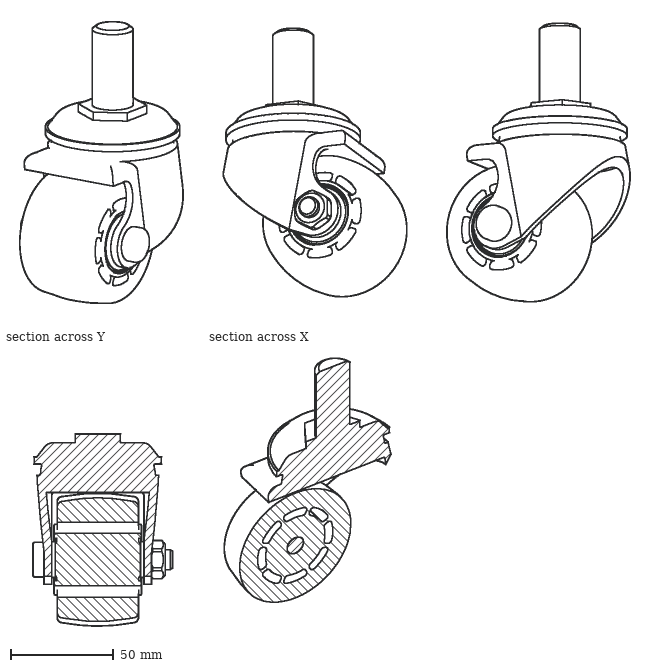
import cadquery as cq
import math


WHEEL_R = 32.5
TREAD_EDGE_R = 31.0
TREAD_HALF_W = 17.4
WHEEL_HALF_W = 20.0
SHOULDER_R = 28.0
HUB_RING_R = 17.4
HUB_RING_HALF_W = 21.5
HUB_RING_ROUND = 1.0
BEARING_SEAT_R = 15.5
BEARING_R = 14.7
BEARING_FACE_R = 14.0
BEARING_CHAMFER = BEARING_R - BEARING_FACE_R
BEARING_HALF_W = 20.9
SLOT_COUNT = 8
SLOT_OUTER_R = 21.7
SPOKE_W = 2.5
SLOT_CORNER_R = 1.6

AXLE_Y = -22.0
AXLE_Z = WHEEL_R
AXLE_R = 5.0
AXLE_TIP_X = -36.6
AXLE_TIP_CHAMFER = 0.8
AXLE_TIP_CHAMFER_L = 1.2
SPACER_R = 8.8
HEAD_R = 8.6
HEAD_H = 5.4
HEAD_ROUND = 1.1
NUT_ACROSS_FLATS = 17.0
NUT_CORNER_R = 9.4
NUT_CHAMFER = 0.5
NUT_HEX_H = 5.0
NUT_SHOULDER_R = 8.6
NUT_SHOULDER_H = 5.6
NUT_TOP_R = 7.5
NUT_H = 6.7

FORK_TOP_Z = 74.0
CEILING_Z = 65.4
CEILING_ROUND = 1.3
WALL = 3.9
FORK_TILT = 11.0
SHELL_R = 31.6
ARM_OUTER_X = 26.4
ARM_INNER_X = ARM_OUTER_X - WALL
CROWN_FRONT = 38.3
CROWN_ROUND = 5.2
ARM_END_R = 12.0
THROAT_R = 14.7
THROAT_TOP_R = 5.9
THROAT_BACK_Y = -20.8
BACK_Y = 33.8
BACK_CORNER = (BACK_Y, 65.7)
SKIRT_MID = (14.7, 41.0)
SKIRT_END = (-8.6, 24.9)

TOTAL_H = 134.0
NECK_R = 30.0
NECK_FLARE = 1.0
NECK_TOP_FLARE = 0.7
NECK_TOP_R = 29.5
NECK_TAPER_Z = 76.0
FLANGE_R = 33.0
FLANGE_BOTTOM_Z = 79.3
FLANGE_TOP_Z = 82.8
CONE_BOTTOM_R = 31.8
CONE_TOP = (28.0, 87.9)
CAP_FLAT_R = 24.1
CAP_TOP_Z = 89.9
HEX_ACROSS_FLATS = 29.1
HEX_TOP_Z = 94.1
STEM_R = 10.0
STEM_CHAMFER = 2.0
STEM_CHAMFER_H = 1.6


def turned_on_axle(profile):
    """Revolve a profile drawn as (x, radius) about the wheel axle."""
    turned = profile.close().revolve(360, (0, 0, 0), (1, 0, 0))
    return turned.translate((0, AXLE_Y, AXLE_Z))


def axle_disc(x_start, x_end, radius):
    disc = cq.Workplane("YZ").circle(radius).extrude(x_end - x_start)
    return disc.translate((x_start, AXLE_Y, AXLE_Z))


def tilted(shape):
    """Lean a shape about the centre of the fork's top face."""
    return shape.rotate((0, 0, FORK_TOP_Z), (1, 0, FORK_TOP_Z), FORK_TILT)


def wheel_slots():
    ring = cq.Workplane("YZ").circle(SLOT_OUTER_R).circle(HUB_RING_R).extrude(WHEEL_HALF_W, both=True)
    spoke_angle = 360 / SLOT_COUNT
    for i in range(SLOT_COUNT // 2):
        spoke = cq.Workplane("YZ").rect(2 * WHEEL_R, SPOKE_W).extrude(WHEEL_HALF_W, both=True)
        ring = ring.cut(spoke.rotate((0, 0, 0), (1, 0, 0), (i + 0.5) * spoke_angle))
    return ring.edges("|X").fillet(SLOT_CORNER_R).translate((0, AXLE_Y, AXLE_Z))


def hub_end():
    """Hub ring standing out of the +X side face, with the bearing seated inside it."""
    return turned_on_axle(
        cq.Workplane("XY")
        .moveTo(0, AXLE_R)
        .lineTo(BEARING_HALF_W, AXLE_R)
        .lineTo(BEARING_HALF_W, BEARING_FACE_R)
        .lineTo(BEARING_HALF_W - BEARING_CHAMFER, BEARING_R)
        .lineTo(BEARING_HALF_W - BEARING_CHAMFER, BEARING_SEAT_R)
        .lineTo(HUB_RING_HALF_W, BEARING_SEAT_R)
        .lineTo(HUB_RING_HALF_W, HUB_RING_R - HUB_RING_ROUND)
        .tangentArcPoint((HUB_RING_HALF_W - HUB_RING_ROUND, HUB_RING_R), relative=False)
        .lineTo(0, HUB_RING_R)
    )


def make_wheel():
    bulge = math.sqrt(0.5)
    shoulder_mid = (
        TREAD_HALF_W + (WHEEL_HALF_W - TREAD_HALF_W) * bulge,
        SHOULDER_R + (TREAD_EDGE_R - SHOULDER_R) * bulge,
    )
    rim = turned_on_axle(
        cq.Workplane("XY")
        .moveTo(-WHEEL_HALF_W, HUB_RING_R)
        .lineTo(WHEEL_HALF_W, HUB_RING_R)
        .lineTo(WHEEL_HALF_W, SHOULDER_R)
        .threePointArc(shoulder_mid, (TREAD_HALF_W, TREAD_EDGE_R))
        .threePointArc((0, WHEEL_R), (-TREAD_HALF_W, TREAD_EDGE_R))
        .threePointArc((-shoulder_mid[0], shoulder_mid[1]), (-WHEEL_HALF_W, SHOULDER_R))
    )
    hub = hub_end().union(hub_end().mirror("YZ"))
    return rim.union(hub).cut(wheel_slots())


def make_swivel_head():
    head = (
        cq.Workplane("XZ")
        .moveTo(0, FORK_TOP_Z)
        .lineTo(NECK_R + NECK_FLARE, FORK_TOP_Z)
        .radiusArc((NECK_R, FORK_TOP_Z + NECK_FLARE), NECK_FLARE)
        .lineTo(NECK_R, NECK_TAPER_Z)
        .lineTo(NECK_TOP_R, FLANGE_BOTTOM_Z - NECK_TOP_FLARE)
        .radiusArc((NECK_TOP_R + NECK_TOP_FLARE, FLANGE_BOTTOM_Z), NECK_TOP_FLARE)
        .lineTo(FLANGE_R, FLANGE_BOTTOM_Z)
        .lineTo(FLANGE_R, FLANGE_TOP_Z)
        .lineTo(CONE_BOTTOM_R, FLANGE_TOP_Z)
        .lineTo(*CONE_TOP)
        .tangentArcPoint((CAP_FLAT_R, CAP_TOP_Z), relative=False)
        .lineTo(0, CAP_TOP_Z)
        .close()
        .revolve(360, (0, 0, 0), (0, 1, 0))
    )
    corner_circle = HEX_ACROSS_FLATS / math.cos(math.pi / 6)
    hexagon = (
        cq.Workplane("XY", origin=(0, 0, CAP_TOP_Z))
        .transformed(rotate=(0, 0, 90))
        .polygon(6, corner_circle)
        .extrude(HEX_TOP_Z - CAP_TOP_Z)
    )
    stem = (
        cq.Workplane("XY", origin=(0, 0, HEX_TOP_Z))
        .circle(STEM_R)
        .extrude(TOTAL_H - HEX_TOP_Z)
        .faces(">Z")
        .chamfer(STEM_CHAMFER_H, STEM_CHAMFER)
    )
    return head.union(hexagon).union(stem)


def fork_side_outline():
    """Side outline of the fork in the YZ plane, extruded across its full width."""
    throat_y = THROAT_BACK_Y - THROAT_R
    centre_gap = ARM_END_R + THROAT_R
    throat_z = AXLE_Z + math.sqrt(centre_gap**2 - (throat_y - AXLE_Y) ** 2)
    blend = ARM_END_R / centre_gap
    arm_front = (AXLE_Y + (throat_y - AXLE_Y) * blend, AXLE_Z + (throat_z - AXLE_Z) * blend)

    top_z = CEILING_Z - THROAT_TOP_R
    top_gap = THROAT_R - THROAT_TOP_R
    top_y = throat_y + math.sqrt(top_gap**2 - (top_z - throat_z) ** 2)
    stretch = THROAT_R / top_gap
    throat_top = (throat_y + (top_y - throat_y) * stretch, throat_z + (top_z - throat_z) * stretch)

    run_y = SKIRT_END[0] - AXLE_Y
    run_z = SKIRT_END[1] - AXLE_Z
    angle = math.atan2(run_z, run_y) - math.acos(ARM_END_R / math.hypot(run_y, run_z))
    arm_bottom = (AXLE_Y + ARM_END_R * math.cos(angle), AXLE_Z + ARM_END_R * math.sin(angle))

    front_y = -CROWN_FRONT - WALL
    return (
        cq.Workplane("YZ")
        .moveTo(BACK_Y, FORK_TOP_Z)
        .lineTo(*BACK_CORNER)
        .threePointArc(SKIRT_MID, SKIRT_END)
        .lineTo(*arm_bottom)
        .threePointArc((AXLE_Y - ARM_END_R, AXLE_Z), arm_front)
        .threePointArc((THROAT_BACK_Y, throat_z), throat_top)
        .tangentArcPoint((top_y, CEILING_Z), relative=False)
        .lineTo(front_y, CEILING_Z)
        .lineTo(front_y, FORK_TOP_Z)
        .close()
        .extrude(SHELL_R, both=True)
    )


def make_fork():
    length = 2 * FORK_TOP_Z
    above_top = cq.Workplane("XY", origin=(0, 0, FORK_TOP_Z)).rect(2 * length, 2 * length).extrude(length)
    above_ceiling = cq.Workplane("XY", origin=(0, 0, CEILING_Z)).rect(2 * length, 2 * length).extrude(length)
    middle = cq.Workplane("XY", origin=(0, 0, FORK_TOP_Z))

    shell = tilted(middle.circle(SHELL_R).extrude(length / 2, both=True)).cut(above_top)
    front_block = middle.center(0, -CROWN_FRONT / 2).rect(2 * ARM_OUTER_X, CROWN_FRONT)
    front_block = tilted(front_block.extrude(length / 2, both=True)).cut(above_top)
    front_block = front_block.faces(">Z").edges("<Y or |Y").fillet(CROWN_ROUND)
    arm_reach = ARM_END_R - AXLE_Y + CROWN_FRONT
    arms = middle.center(0, -arm_reach / 2).rect(2 * ARM_OUTER_X, arm_reach)
    arms = tilted(arms.extrude(length / 2, both=True)).cut(above_ceiling)

    bore = tilted(middle.circle(SHELL_R - WALL).extrude(length / 2, both=True))
    gap = middle.center(0, -arm_reach / 2).rect(2 * ARM_INNER_X, arm_reach)
    gap = tilted(gap.extrude(length / 2, both=True))
    gap = gap.cut(above_ceiling).faces(">Z").edges("|Y").fillet(CEILING_ROUND)
    cavity = bore.cut(above_ceiling).union(gap)
    return shell.union(front_block).union(arms).cut(cavity).intersect(fork_side_outline())


def make_nut():
    seat_x = -ARM_OUTER_X
    turned = turned_on_axle(
        cq.Workplane("XY")
        .moveTo(seat_x, 0)
        .lineTo(seat_x, NUT_CORNER_R - NUT_CHAMFER)
        .lineTo(seat_x - NUT_CHAMFER, NUT_CORNER_R)
        .lineTo(seat_x - NUT_HEX_H, NUT_CORNER_R)
        .lineTo(seat_x - NUT_SHOULDER_H, NUT_SHOULDER_R)
        .tangentArcPoint((seat_x - NUT_H, NUT_TOP_R), relative=False)
        .lineTo(seat_x - NUT_H, 0)
    )
    corner_circle = NUT_ACROSS_FLATS / math.cos(math.pi / 6)
    hexagon = (
        cq.Workplane("YZ", origin=(seat_x, AXLE_Y, AXLE_Z))
        .transformed(rotate=(0, 0, 90))
        .polygon(6, corner_circle)
        .extrude(-NUT_H)
    )
    return turned.intersect(hexagon)


def make_axle():
    shaft = axle_disc(AXLE_TIP_X, ARM_OUTER_X, AXLE_R)
    shaft = shaft.faces("<X").chamfer(AXLE_TIP_CHAMFER_L, AXLE_TIP_CHAMFER)
    head = axle_disc(ARM_OUTER_X, ARM_OUTER_X + HEAD_H, HEAD_R).faces(">X").edges().fillet(HEAD_ROUND)
    left_spacer = axle_disc(-ARM_INNER_X, -BEARING_HALF_W, SPACER_R)
    right_spacer = axle_disc(BEARING_HALF_W, ARM_INNER_X, SPACER_R)
    return shaft.union(head).union(left_spacer).union(right_spacer).union(make_nut())


def make_frame():
    return make_swivel_head().union(make_fork()).union(make_axle())


frame = make_frame()
wheel = make_wheel()
result = cq.Compound.makeCompound([frame.val(), wheel.val()])